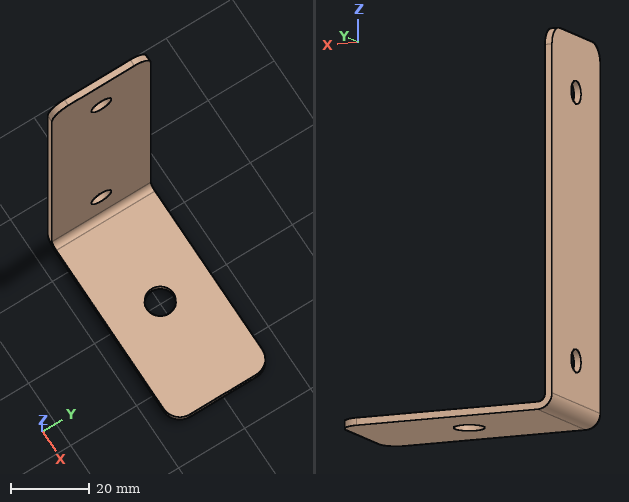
import cadquery as cq

base_length = 60.0
wall_height = 100.0
width = 30.0
thickness = 2.0
inner_bend_radius = 2.0
outer_bend_radius = inner_bend_radius + thickness
corner_radius = 5.0

wall_hole_diameter = 6.0
wall_hole_end_offset = 15.0
base_hole_diameter = 8.0
base_hole_x = base_length / 2


def bent_strip():
    """L-shaped strip with the outer bend corner at X = 0, Z = 0, centred on Y."""
    profile = (
        cq.Workplane("XZ")
        .moveTo(outer_bend_radius, 0)
        .lineTo(base_length, 0)
        .lineTo(base_length, thickness)
        .lineTo(outer_bend_radius, thickness)
        .radiusArc((thickness, outer_bend_radius), inner_bend_radius)
        .lineTo(thickness, wall_height)
        .lineTo(0, wall_height)
        .lineTo(0, outer_bend_radius)
        .radiusArc((outer_bend_radius, 0), -outer_bend_radius)
        .close()
    )
    return profile.extrude(width / 2, both=True)


def round_free_ends(body):
    """Round the two outer corners of each flange."""
    body = body.faces(">X").edges("|Z").fillet(corner_radius)
    return body.faces(">Z").edges("|X").fillet(corner_radius)


def wall_hole(z):
    """Cutter for a hole through the upright flange."""
    return cq.Workplane("YZ").center(0, z).circle(wall_hole_diameter / 2).extrude(thickness)


def base_hole():
    """Cutter for the hole through the base flange."""
    return cq.Workplane("XY").center(base_hole_x, 0).circle(base_hole_diameter / 2).extrude(thickness)


result = round_free_ends(bent_strip())
for hole_z in (wall_hole_end_offset, wall_height - wall_hole_end_offset):
    result = result.cut(wall_hole(hole_z))
result = result.cut(base_hole())